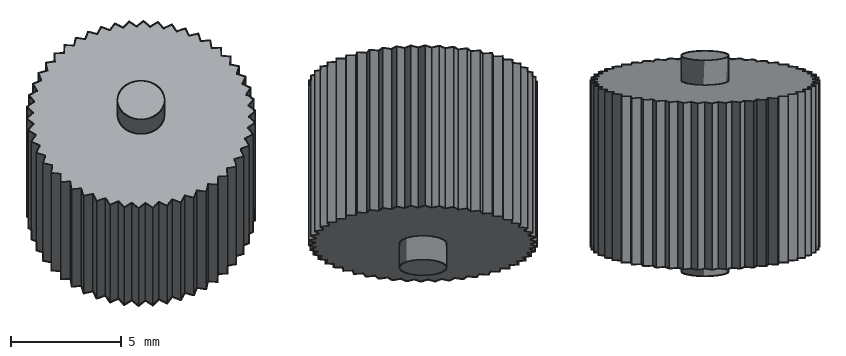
import cadquery as cq
import math

TIP_RADIUS = 5.19
TOOTH_COUNT = 50
TIP_ANGLE = 90.0
FIRST_TOOTH_ANGLE = 0.3
BODY_LENGTH = 7.7
SHAFT_DIAMETER = 2.14
SHAFT_LENGTH = 10.0

PITCH_ANGLE = 360.0 / TOOTH_COUNT
HALF_PITCH = math.radians(PITCH_ANGLE / 2)
HALF_TIP = math.radians(TIP_ANGLE / 2)
ROOT_RADIUS = TIP_RADIUS * math.sin(HALF_TIP) / math.sin(HALF_TIP + HALF_PITCH)


def polar_point(radius, angle):
    """Point in the XY plane at a radius and an angle in degrees."""
    return (
        radius * math.cos(math.radians(angle)),
        radius * math.sin(math.radians(angle)),
    )


def make_toothed_body():
    """Straight-toothed cylinder along Z, centred on the origin."""
    outline = []
    for tooth in range(TOOTH_COUNT):
        tip_direction = FIRST_TOOTH_ANGLE + tooth * PITCH_ANGLE
        outline.append(polar_point(TIP_RADIUS, tip_direction))
        outline.append(polar_point(ROOT_RADIUS, tip_direction + PITCH_ANGLE / 2))
    return cq.Workplane("XY").polyline(outline).close().extrude(BODY_LENGTH / 2, both=True)


def make_shaft():
    """Plain shaft that stands out equally at both ends of the body."""
    return cq.Workplane("XY").circle(SHAFT_DIAMETER / 2).extrude(SHAFT_LENGTH / 2, both=True)


result = make_toothed_body().union(make_shaft())